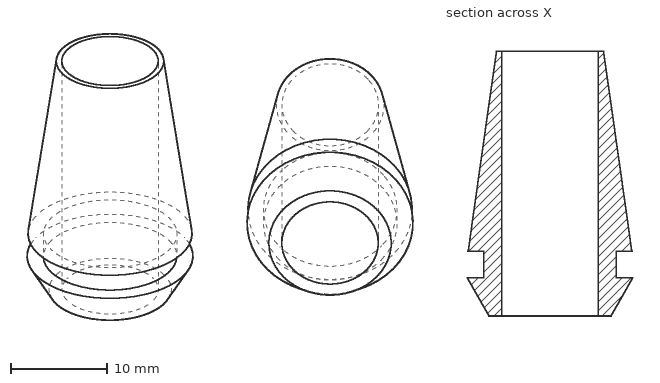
import cadquery as cq

total_height = 27.5
collar_height = 4.0
groove_top = 6.7

base_radius = 6.35
collar_radius = 8.62
groove_radius = 6.93
taper_bottom_radius = 8.52
taper_top_radius = 5.58

bore_radius = 5.0

half_section = [
    (bore_radius, 0),
    (base_radius, 0),
    (collar_radius, collar_height),
    (groove_radius, collar_height),
    (groove_radius, groove_top),
    (taper_bottom_radius, groove_top),
    (taper_top_radius, total_height),
    (bore_radius, total_height),
]

result = cq.Workplane("XZ").polyline(half_section).close().revolve(360, (0, 0), (0, 1))